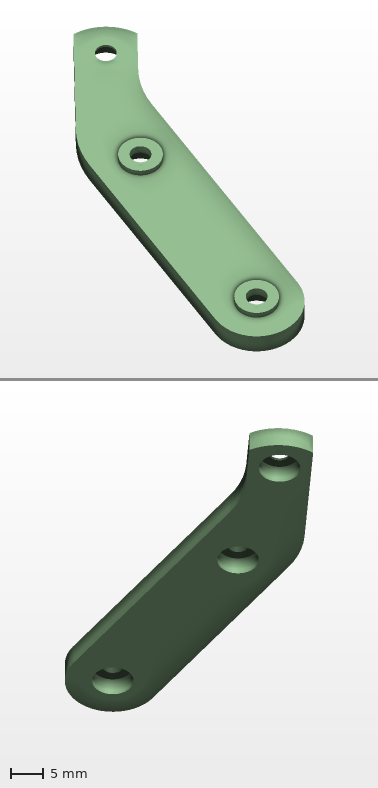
import cadquery as cq
import math

plate_thickness = 3.45
body_radius = 7.5
hole_spacing = 35.0

hole_diameter = 3.4
recess_diameter = 6.5
recess_depth = 3.0

boss_diameter = 7.0
boss_height = 1.05

arm_angle = math.radians(30)
arm_width = 9.9
arm_hole_x = -56.9
arm_hole_y = 6.9
arm_corner_distance = 4.1
arm_tip_radius = 9.1
bend_radius = 14.95

body_hole_points = [(0, 0), (-hole_spacing, 0)]
all_hole_points = body_hole_points + [(arm_hole_x, arm_hole_y)]


def arm_point(along, across):
    """Point measured from the arm hole, toward the tip and toward the upper edge."""
    return (
        arm_hole_x - along * math.cos(arm_angle) + across * math.sin(arm_angle),
        arm_hole_y + along * math.sin(arm_angle) + across * math.cos(arm_angle),
    )


def bend_corner(tip_corner, edge_y):
    """Point where an arm edge meets a straight edge of the body."""
    x, y = tip_corner
    return (x + (y - edge_y) / math.tan(arm_angle), edge_y)


def make_plate():
    half_width = arm_width / 2
    tip_bulge = arm_tip_radius - math.sqrt(arm_tip_radius**2 - half_width**2)
    upper_tip = arm_point(arm_corner_distance, half_width)
    lower_tip = arm_point(arm_corner_distance, -half_width)
    tip_middle = arm_point(arm_corner_distance + tip_bulge, 0)
    upper_bend = bend_corner(upper_tip, body_radius)
    lower_bend = bend_corner(lower_tip, -body_radius)

    plate = (
        cq.Workplane("XY")
        .moveTo(0, -body_radius)
        .threePointArc((body_radius, 0), (0, body_radius))
        .lineTo(*upper_bend)
        .lineTo(*upper_tip)
        .threePointArc(tip_middle, lower_tip)
        .lineTo(*lower_bend)
        .close()
        .extrude(plate_thickness)
    )
    for x, y in (upper_bend, lower_bend):
        bend_edge = cq.selectors.NearestToPointSelector((x, y, plate_thickness / 2))
        plate = plate.edges("|Z").edges(bend_edge).fillet(bend_radius)
    return plate


def make_bosses():
    return (
        cq.Workplane("XY")
        .pushPoints(body_hole_points)
        .circle(boss_diameter / 2)
        .extrude(plate_thickness + boss_height)
    )


def make_holes():
    return (
        cq.Workplane("XY")
        .pushPoints(all_hole_points)
        .circle(hole_diameter / 2)
        .extrude(plate_thickness + boss_height)
    )


def make_recesses():
    return (
        cq.Workplane("XY")
        .pushPoints(all_hole_points)
        .circle(recess_diameter / 2)
        .extrude(recess_depth)
    )


result = make_plate().union(make_bosses()).cut(make_holes()).cut(make_recesses())